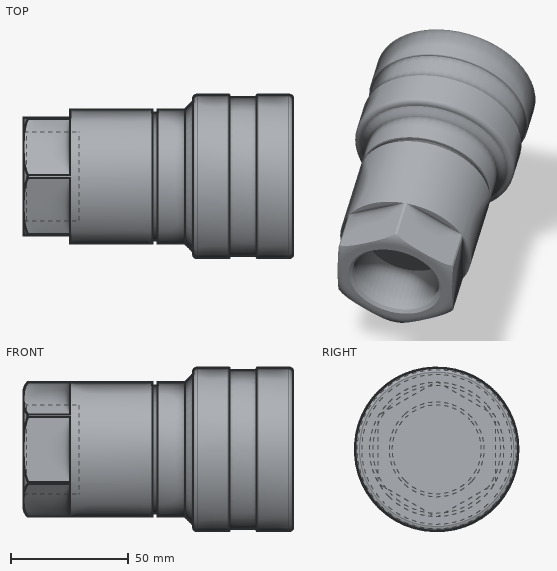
import cadquery as cq
import math

length = 115.0
hex_end = 19.9
groove_start = 55.0
groove_end = 57.3
cone_start = 69.0
sleeve_start = 72.3
waist_start = 87.9
waist_end = 99.5

body_radius = 28.6
groove_radius = 27.3
cone_end_radius = 32.0
sleeve_radius = 34.8
waist_radius = 33.9

sleeve_round = 2.0
waist_edge_round = 0.6

across_flats = 50.1
hex_face_radius = 23.8
nose_length = 2.0

bore_radius = 19.0
bore_mouth_radius = 20.2
bore_chamfer = bore_mouth_radius - bore_radius
bore_depth = 23.7


def revolve_about_x(profile):
    """Turn a closed (x, radius) profile about the X axis."""
    return profile.close().revolve(360, (0, 0, 0), (1, 0, 0))


def ring(start, end, radius):
    """Solid disc on the X axis between two stations."""
    return cq.Workplane("YZ", origin=(start, 0, 0)).circle(radius).extrude(end - start)


def make_body():
    """Turned body with the rounded nose, retaining groove and flared shoulder."""
    return revolve_about_x(
        cq.Workplane("XY")
        .moveTo(0, 0)
        .lineTo(0, hex_face_radius)
        .tangentArcPoint((nose_length, body_radius), relative=False)
        .lineTo(groove_start, body_radius)
        .lineTo(groove_start, groove_radius)
        .lineTo(groove_end, groove_radius)
        .lineTo(groove_end, body_radius)
        .lineTo(cone_start, body_radius)
        .lineTo(sleeve_start, cone_end_radius)
        .lineTo(sleeve_start, 0)
    )


def cut_hexagon(body):
    """Cut the wrench flats, leaving corners pointing along +Z and -Z."""
    across_corners = across_flats / math.cos(math.radians(30))
    hexagon = (
        cq.Workplane("YZ")
        .transformed(rotate=(0, 0, 90))
        .polygon(6, across_corners)
        .extrude(hex_end)
    )
    waste = ring(0, hex_end, sleeve_radius).cut(hexagon)
    return body.cut(waste)


def make_sleeve():
    """Sleeve made of two rounded bands joined by a shallow waist."""
    front_band = ring(sleeve_start, waist_start, sleeve_radius)
    front_band = front_band.faces("<X").edges().fillet(sleeve_round)
    front_band = front_band.faces(">X").edges().fillet(waist_edge_round)
    rear_band = ring(waist_end, length, sleeve_radius)
    rear_band = rear_band.faces(">X").edges().fillet(sleeve_round)
    rear_band = rear_band.faces("<X").edges().fillet(waist_edge_round)
    waist = ring(waist_start, waist_end, waist_radius)
    return front_band.union(waist).union(rear_band)


def make_bore():
    """Blind bore with a chamfered mouth at the hexagon end."""
    return revolve_about_x(
        cq.Workplane("XY")
        .moveTo(0, 0)
        .lineTo(0, bore_mouth_radius)
        .lineTo(bore_chamfer, bore_radius)
        .lineTo(bore_depth, bore_radius)
        .lineTo(bore_depth, 0)
    )


result = cut_hexagon(make_body()).union(make_sleeve()).cut(make_bore())